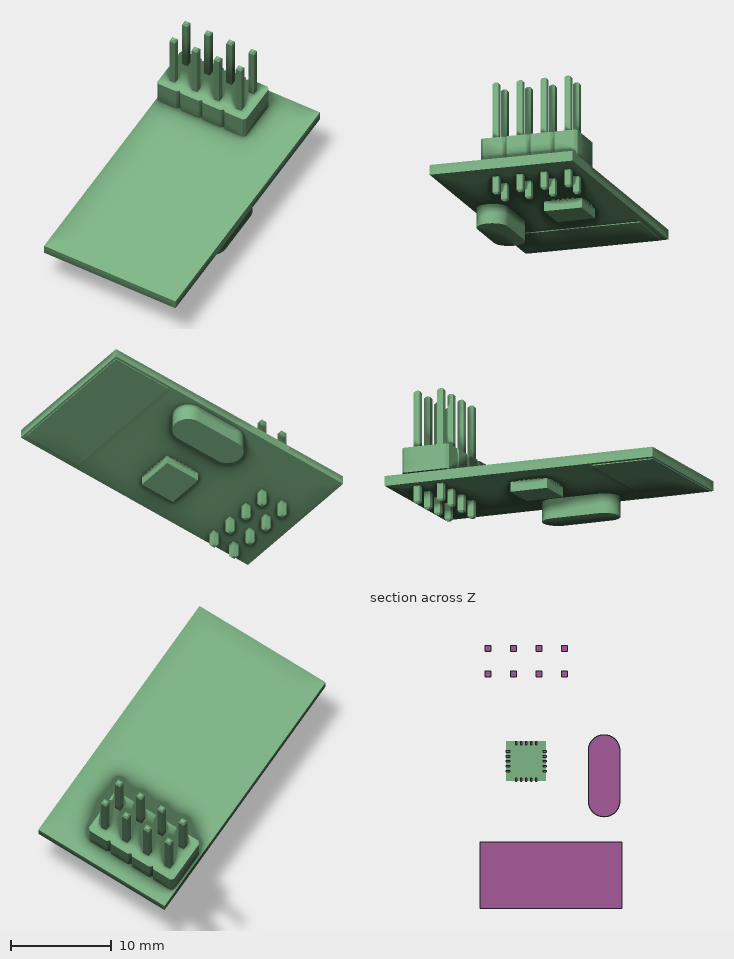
import cadquery as cq


BOARD_WIDTH = 15.0
BOARD_LENGTH = 29.0
BOARD_THICKNESS = 1.02

PIN_PITCH = 2.52
PIN_COLUMNS = 4
PIN_ROWS = 2
HEADER_X = 5.22
HEADER_Y = 24.77
HEADER_GAP = 0.17
HEADER_HEIGHT = 2.55
HEADER_CHAMFER = 0.25

PIN_WIDTH = 0.65
PIN_TOP = 9.75
PIN_BOTTOM = -1.8
PIN_TIP_WIDTH = PIN_WIDTH / 2
PIN_TIP_HEIGHT = 0.2

CHIP_X = HEADER_X
CHIP_Y = 14.82
CHIP_SIZE = 3.97
CHIP_STANDOFF = 0.1
CHIP_DROP = 1.1
LEADS_PER_SIDE = 5
LEAD_PITCH = 0.5
LEAD_WIDTH = 0.2
LEAD_LENGTH = 0.4
LEAD_HEIGHT = 0.2
LEAD_PROTRUSION = 0.03

CRYSTAL_X = 12.93
CRYSTAL_Y = 13.4
CRYSTAL_WIDTH = 3.2
CRYSTAL_LENGTH = 8.18
CRYSTAL_DROP = 2.0

ANTENNA_X_MIN = 0.6
ANTENNA_X_MAX = 14.73
ANTENNA_Y_MIN = 0.2
ANTENNA_Y_MAX = 6.87
ANTENNA_THICKNESS = 0.1


def centred_positions(count, pitch):
    """Return evenly spaced positions centred on zero."""
    return [(index - (count - 1) / 2) * pitch for index in range(count)]


def make_board():
    return cq.Workplane("XY").box(BOARD_WIDTH, BOARD_LENGTH, BOARD_THICKNESS, centered=False)


def make_header_body():
    """Join one chamfered block per pin column, leaving V notches between them."""
    block = (
        cq.Workplane("XY")
        .box(PIN_PITCH, PIN_ROWS * PIN_PITCH, HEADER_HEIGHT, centered=(True, True, False))
        .edges("|Z")
        .chamfer(HEADER_CHAMFER)
        .translate((0, 0, BOARD_THICKNESS + HEADER_GAP))
    )
    body = cq.Workplane("XY")
    for column_x in centred_positions(PIN_COLUMNS, PIN_PITCH):
        body = body.union(block.translate((HEADER_X + column_x, HEADER_Y, 0)))
    return body


def make_pin_tip(base_z, direction):
    """Taper outwards from the pin end at base_z; direction is +1 up or -1 down."""
    return (
        cq.Workplane("XY", origin=(0, 0, base_z))
        .rect(PIN_WIDTH, PIN_WIDTH)
        .workplane(offset=direction * PIN_TIP_HEIGHT)
        .rect(PIN_TIP_WIDTH, PIN_TIP_WIDTH)
        .loft()
    )


def make_pin():
    """Make a square pin with both ends tapered."""
    shaft_top = PIN_TOP - PIN_TIP_HEIGHT
    shaft_bottom = PIN_BOTTOM + PIN_TIP_HEIGHT
    shaft = (
        cq.Workplane("XY", origin=(0, 0, shaft_bottom))
        .rect(PIN_WIDTH, PIN_WIDTH)
        .extrude(shaft_top - shaft_bottom)
    )
    return shaft.union(make_pin_tip(shaft_top, 1)).union(make_pin_tip(shaft_bottom, -1))


def make_chip():
    chip = (
        cq.Workplane("XY", origin=(CHIP_X, CHIP_Y, -CHIP_STANDOFF))
        .rect(CHIP_SIZE, CHIP_SIZE)
        .extrude(-(CHIP_DROP - CHIP_STANDOFF))
    )
    lead_centre = CHIP_SIZE / 2 + LEAD_PROTRUSION - LEAD_LENGTH / 2
    leads = (
        cq.Workplane("XY")
        .pushPoints([(lead_centre, y) for y in centred_positions(LEADS_PER_SIDE, LEAD_PITCH)])
        .rect(LEAD_LENGTH, LEAD_WIDTH)
        .extrude(-LEAD_HEIGHT)
    )
    for angle in (0, 90, 180, 270):
        side_leads = leads.rotate((0, 0, 0), (0, 0, 1), angle)
        chip = chip.union(side_leads.translate((CHIP_X, CHIP_Y, 0)))
    return chip


def make_crystal():
    return (
        cq.Workplane("XY", origin=(CRYSTAL_X, CRYSTAL_Y, 0))
        .slot2D(CRYSTAL_LENGTH, CRYSTAL_WIDTH, angle=90)
        .extrude(-CRYSTAL_DROP)
    )


def make_antenna():
    return (
        cq.Workplane("XY", origin=(ANTENNA_X_MIN, ANTENNA_Y_MIN, 0))
        .rect(ANTENNA_X_MAX - ANTENNA_X_MIN, ANTENNA_Y_MAX - ANTENNA_Y_MIN, centered=False)
        .extrude(-ANTENNA_THICKNESS)
    )


result = make_board().union(make_header_body())
pin = make_pin()
for pin_x in centred_positions(PIN_COLUMNS, PIN_PITCH):
    for pin_y in centred_positions(PIN_ROWS, PIN_PITCH):
        result = result.union(pin.translate((HEADER_X + pin_x, HEADER_Y + pin_y, 0)))
result = result.union(make_chip()).union(make_crystal()).union(make_antenna())